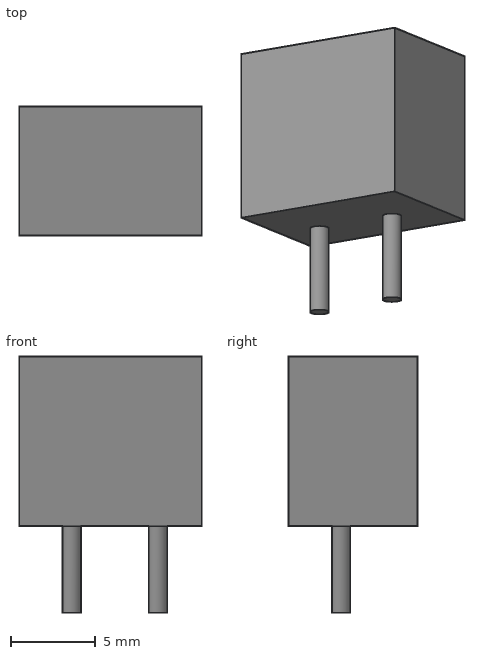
import cadquery as cq

housing_length = 10.76
housing_width = 7.6
housing_height = 10.0

pin_diameter = 1.1
pin_length = 5.1
pin_pitch = 5.08
pin_row_x = 0.26
pin_row_y = -0.7


def make_housing():
    return cq.Workplane("XY").box(
        housing_length, housing_width, housing_height, centered=(True, True, False)
    )


def make_pin(x):
    """One pin with its top end against the underside of the housing."""
    return cq.Workplane("XY").center(x, pin_row_y).circle(pin_diameter / 2).extrude(-pin_length)


housing = make_housing()
pins = [make_pin(pin_row_x + side * pin_pitch / 2) for side in (-1, 1)]

result = cq.Compound.makeCompound([housing.val(), *[pin.val() for pin in pins]])